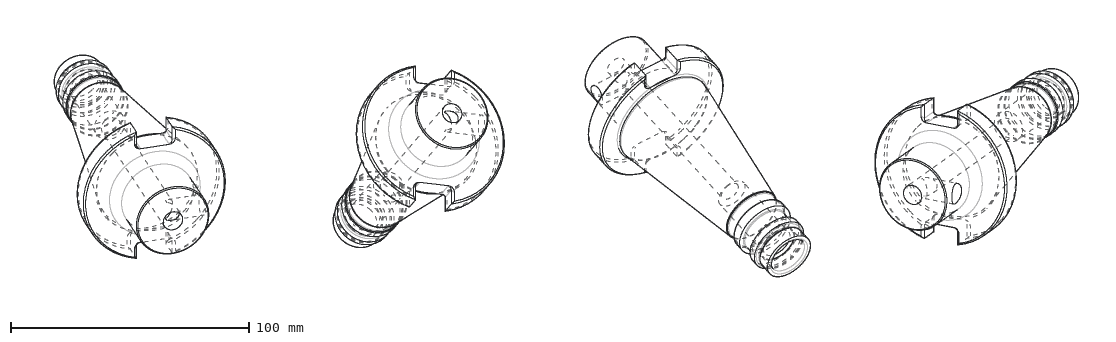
import cadquery as cq
import math


length = 130.0

spigot_radius = 10.9
undercut_start = 5.6
undercut_lead_in = 0.4
undercut_depth = 0.1
collar_start = 7.5
collar_end = 12.0
collar_radius = 12.5
collar_back_angle = 15.0
root_radius = 0.8
neck_radius = 10.5
neck_root_radius = 0.4
pilot_start = 18.1
pilot_radius = 12.9
groove_start = 22.4
groove_radius = 12.1
groove_edge = 0.4

taper_start = 28.2
gauge_plane = 93.3
gauge_radius = 22.2
taper_slope = 7 / 24 / 2
taper_start_radius = gauge_radius - taper_slope * (gauge_plane - taper_start)

flange_start = 94.9
flange_thickness = 10.1
flange_end = flange_start + flange_thickness
flange_radius = 31.3
flange_chamfer = 0.8
slot_width = 15.7
slot_floor = 22.5
slot_corner_radius = 1.5
slot_chamfer_width = 1.2
slot_chamfer_depth = 0.8

hub_radius = 16.0
hub_root_radius = 4.0
hub_chamfer = 0.5
screw_hole_radius = 4.4
screw_hole_x = 120.5

bore_radius = 8.5
bore_mouth_radius = 0.9
bore_depth = 8.5
countersink_radius = 8.2
countersink_half_angle = 60.0
thread_radius = 6.8
thread_end = 42.9
drill_half_angle = 59.0
through_radius = 4.3
countersink_step = countersink_radius - thread_radius
countersink_depth = countersink_step / math.tan(math.radians(countersink_half_angle))
drill_point = (thread_radius - through_radius) / math.tan(math.radians(drill_half_angle))

cut_clearance = 1.3

quarter_arc_middle = math.sqrt(0.5)


def root_fillet_up(outline, x_face, radius_low, fillet):
    """Run to a shoulder at x_face and turn outward through a concave fillet."""
    start = x_face - fillet
    outline = outline.lineTo(start, radius_low)
    middle = (start + fillet * quarter_arc_middle, radius_low + fillet * (1 - quarter_arc_middle))
    return outline.threePointArc(middle, (x_face, radius_low + fillet))


def root_fillet_down(outline, x_end, radius_low, fillet, lean=0.0):
    """Come down a shoulder and turn along the axis at x_end through a concave fillet.

    The shoulder leans off the radial plane by lean degrees.
    """
    radius_centre = radius_low + fillet

    def fillet_point(angle):
        turn = math.radians(angle)
        return (x_end - fillet * math.cos(turn), radius_centre - fillet * math.sin(turn))

    outline = outline.lineTo(*fillet_point(lean))
    return outline.threePointArc(fillet_point((lean + 90) / 2), fillet_point(90))


def collar_back_width():
    """Axial distance from the collar rim to the far end of the fillet behind it."""
    lean = math.radians(collar_back_angle)
    tangent_radius = neck_radius + root_radius * (1 - math.sin(lean))
    return root_radius * math.cos(lean) + (collar_radius - tangent_radius) * math.tan(lean)


def revolve_about_axis(outline):
    return outline.close().revolve(360, (0, 0, 0), (1, 0, 0))


def turned_body():
    undercut_radius = spigot_radius - undercut_depth
    groove_front = groove_start + groove_edge
    groove_back = taper_start - groove_edge
    outline = (
        cq.Workplane("XZ")
        .lineTo(0, spigot_radius)
        .lineTo(undercut_start, spigot_radius)
        .lineTo(undercut_start + undercut_lead_in, undercut_radius)
    )
    outline = root_fillet_up(outline, collar_start, undercut_radius, root_radius)
    outline = (
        outline.lineTo(collar_start, collar_radius)
        .lineTo(collar_end - collar_back_width(), collar_radius)
    )
    outline = root_fillet_down(outline, collar_end, neck_radius, root_radius, collar_back_angle)
    outline = root_fillet_up(outline, pilot_start, neck_radius, neck_root_radius)
    outline = outline.lineTo(pilot_start, pilot_radius).lineTo(groove_start, pilot_radius)
    outline = root_fillet_down(outline, groove_front + groove_edge, groove_radius, groove_edge)
    outline = root_fillet_up(outline, groove_back, groove_radius, groove_edge)
    outline = (
        outline.lineTo(taper_start, taper_start_radius)
        .lineTo(gauge_plane, gauge_radius)
    )
    outline = root_fillet_up(outline, flange_start, gauge_radius, root_radius)
    outline = (
        outline.lineTo(flange_start, flange_radius - flange_chamfer)
        .lineTo(flange_start + flange_chamfer, flange_radius)
        .lineTo(flange_end - flange_chamfer, flange_radius)
        .lineTo(flange_end, flange_radius - flange_chamfer)
    )
    outline = root_fillet_down(outline, flange_end + hub_root_radius, hub_radius, hub_root_radius)
    outline = (
        outline.lineTo(length - hub_chamfer, hub_radius)
        .lineTo(length, hub_radius - hub_chamfer)
        .lineTo(length, 0)
    )
    return revolve_about_axis(outline)


def stepped_bore():
    rounding = bore_mouth_radius * (1 - quarter_arc_middle)
    outline = (
        cq.Workplane("XZ")
        .lineTo(0, bore_radius + bore_mouth_radius)
        .threePointArc((rounding, bore_radius + rounding), (bore_mouth_radius, bore_radius))
        .lineTo(bore_depth, bore_radius)
        .lineTo(bore_depth, countersink_radius)
        .lineTo(bore_depth + countersink_depth, thread_radius)
        .lineTo(thread_end, thread_radius)
        .lineTo(thread_end + drill_point, through_radius)
        .lineTo(length, through_radius)
        .lineTo(length, 0)
    )
    return revolve_about_axis(outline)


def slot_section(x, width, corner_radius):
    """Upright slot outline at x, rounded at the floor and open past the flange rim."""
    half = width / 2
    rounding = corner_radius * (1 - quarter_arc_middle)
    corner_top = slot_floor + corner_radius
    return (
        cq.Workplane("YZ", origin=(x, 0, 0))
        .moveTo(-half, flange_radius + cut_clearance)
        .lineTo(-half, corner_top)
        .threePointArc(
            (-half + rounding, slot_floor + rounding), (-half + corner_radius, slot_floor)
        )
        .lineTo(half - corner_radius, slot_floor)
        .threePointArc((half - rounding, slot_floor + rounding), (half, corner_top))
        .lineTo(half, flange_radius + cut_clearance)
        .close()
    )


def slot_chamfer(x_face, x_inner):
    """Widened slot mouth, from the full chamfer width at x_face to the slot width at x_inner."""
    mouth_width = slot_width + 2 * slot_chamfer_width
    mouth_corner = slot_corner_radius + slot_chamfer_width
    mouth = slot_section(x_face, mouth_width, mouth_corner).wires().val()
    throat = slot_section(x_inner, slot_width, slot_corner_radius).wires().val()
    return cq.Workplane(cq.Solid.makeLoft([mouth, throat], True))


def driving_slot():
    return (
        slot_section(flange_start, slot_width, slot_corner_radius)
        .extrude(flange_thickness)
        .union(slot_chamfer(flange_start, flange_start + slot_chamfer_depth))
        .union(slot_chamfer(flange_end, flange_end - slot_chamfer_depth))
    )


def screw_hole():
    """Radial hole from the +Y side of the hub into the bore."""
    axis = cq.Vector(0, 1, 0)
    start = cq.Vector(screw_hole_x, 0, 0)
    reach = hub_radius + cut_clearance
    return cq.Workplane(cq.Solid.makeCylinder(screw_hole_radius, reach, start, axis))


upper_slot = driving_slot()
lower_slot = upper_slot.mirror("XY")
result = turned_body().cut(stepped_bore()).cut(upper_slot).cut(lower_slot).cut(screw_hole())